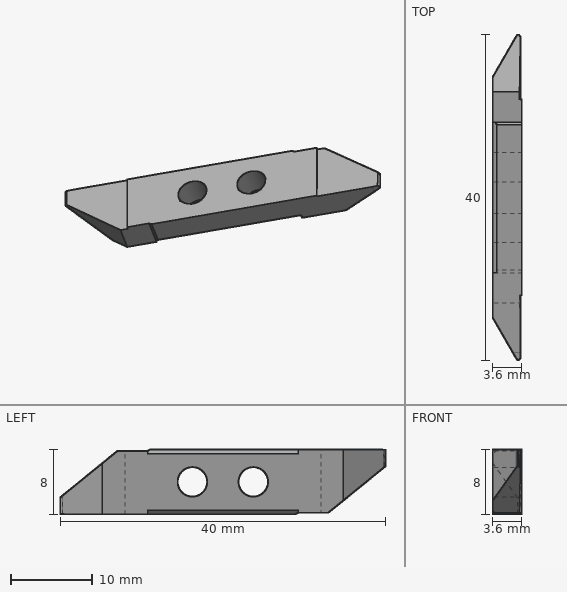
import cadquery as cq
import math

length = 40.0
thickness = 3.6
height = 8.0
half_length = length / 2
half_thickness = thickness / 2
half_height = height / 2

shoulder_drop = 0.2
shoulder_start = 9.25
shoulder_ramp = 0.3
slant_start = 12.95
tip_height = 2.1

taper_start = 14.8
taper_angle = 30.0
nose_length = 0.3
nose_flat_x = 1.25
nose_flat_width = 0.15
rake_length = 1.0
rake_drop = 0.05

relief_start = 12.05
relief_edge_depth = 0.15
relief_far_depth = 0.3

chamfer_half_length = 9.25
chamfer_size = 0.5
hole_diameter = 3.6
hole_spacing = 7.5

margin = 0.4


def half_turn(shape):
    """Turn a shape to the opposite end of the blade."""
    return shape.rotate((0, 0, 0), (1, 0, 0), 180)


def make_body():
    half_outline = [
        (-half_length, half_height - tip_height),
        (-half_length, half_height - rake_drop),
        (-half_length + rake_length, half_height),
        (shoulder_start - shoulder_ramp, half_height),
        (shoulder_start, half_height - shoulder_drop),
        (slant_start, half_height - shoulder_drop),
    ]
    opposite_outline = [(-y, -z) for y, z in half_outline]
    return (
        cq.Workplane("YZ")
        .polyline(half_outline + opposite_outline)
        .close()
        .extrude(half_thickness, both=True)
    )


def make_plan():
    """Thickness outline with a faceted nose at each end."""
    nose_start = half_length - nose_length
    taper_width = (nose_start - taper_start) * math.tan(math.radians(taper_angle))
    relieved_x = half_thickness - relief_edge_depth
    end_outline = [
        (-half_thickness, taper_start),
        (-half_thickness + taper_width, nose_start),
        (nose_flat_x, half_length),
        (nose_flat_x + nose_flat_width, half_length),
        (relieved_x, nose_start),
        (relieved_x, relief_start),
        (half_thickness, relief_start),
    ]
    opposite_outline = [(x, -y) for x, y in reversed(end_outline)]
    return (
        cq.Workplane("XY")
        .polyline(end_outline + opposite_outline)
        .close()
        .extrude(half_height, both=True)
    )


def make_relief():
    """Wedge that deepens the -Y end relief away from its cutting edge at the top."""
    return (
        cq.Workplane("XZ", origin=(0, -relief_start, 0))
        .moveTo(half_thickness - relief_edge_depth, half_height)
        .lineTo(half_thickness - relief_far_depth, -half_height)
        .lineTo(half_thickness + margin, -half_height)
        .lineTo(half_thickness + margin, half_height)
        .close()
        .extrude(half_length - relief_start + margin)
    )


def make_chamfer():
    """Triangular prism along the upper -X edge."""
    return (
        cq.Workplane("XZ")
        .moveTo(-half_thickness, half_height)
        .lineTo(-half_thickness + chamfer_size, half_height)
        .lineTo(-half_thickness, half_height - chamfer_size)
        .close()
        .extrude(chamfer_half_length, both=True)
    )


def make_holes():
    return (
        cq.Workplane("YZ")
        .pushPoints([(-hole_spacing / 2, 0), (hole_spacing / 2, 0)])
        .circle(hole_diameter / 2)
        .extrude(half_thickness + margin, both=True)
    )


result = make_body().intersect(make_plan())
for cutter in (make_relief(), make_chamfer()):
    result = result.cut(cutter).cut(half_turn(cutter))
result = result.cut(make_holes())